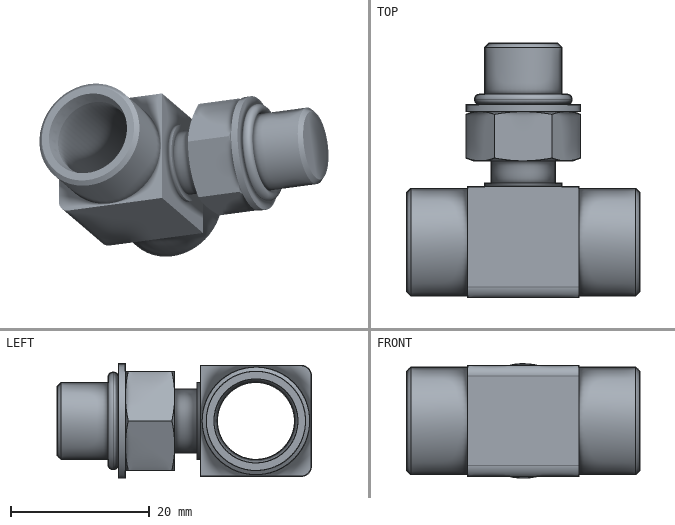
import cadquery as cq
import math

block_size = 16.0
block_edge_radius = 1.55

run_length = 33.6
run_diameter = 15.5
run_chamfer = 0.6
bore_diameter = 11.1
cone_mouth_diameter = 12.1
cone_half_angle = 12.0

collar_diameter = 11.12
collar_end = 8.5
neck_diameter = 9.25
nut_start = 11.7
washer_start = 18.8
washer_end = 19.8
washer_diameter = 16.51
stud_diameter = 11.12
stud_end = 28.65
stud_chamfer = 0.6

nut_across_flats = 14.29
nut_corner_diameter = nut_across_flats / math.cos(math.radians(30))
nut_chamfer_angle = 20.0

ring_section_diameter = 1.5
ring_outer_diameter = 14.06


def branch_cylinder(diameter, start, end):
    """Cylinder on the Y axis between two distances from the run axis."""
    return cq.Workplane("XZ", origin=(0, start, 0)).circle(diameter / 2).extrude(start - end)


def make_body():
    block = cq.Workplane("XY").box(block_size, block_size, block_size)
    block = block.edges("|X and <Y").fillet(block_edge_radius)
    run = (
        cq.Workplane("YZ", origin=(-run_length / 2, 0, 0))
        .circle(run_diameter / 2)
        .extrude(run_length)
        .faces("<X or >X")
        .chamfer(run_chamfer)
    )
    return block.union(run)


def make_run_bore():
    """Straight bore opening into a shallow cone at each end."""
    end = run_length / 2
    bore_radius = bore_diameter / 2
    mouth_radius = cone_mouth_diameter / 2
    cone_depth = (mouth_radius - bore_radius) / math.tan(math.radians(cone_half_angle))
    profile = [
        (-end, 0),
        (-end, mouth_radius),
        (-end + cone_depth, bore_radius),
        (end - cone_depth, bore_radius),
        (end, mouth_radius),
        (end, 0),
    ]
    return cq.Workplane("XY").polyline(profile).close().revolve(360, (0, 0, 0), (1, 0, 0))


def make_nut():
    """Hexagon whose corners are turned down by a cone at each end."""
    hexagon = (
        cq.Workplane("XZ", origin=(0, nut_start, 0))
        .polygon(6, nut_corner_diameter)
        .extrude(nut_start - washer_start)
    )
    face_radius = nut_across_flats / 2
    corner_radius = nut_corner_diameter / 2
    chamfer_length = (corner_radius - face_radius) * math.tan(math.radians(nut_chamfer_angle))
    profile = [
        (0, nut_start),
        (face_radius, nut_start),
        (corner_radius, nut_start + chamfer_length),
        (corner_radius, washer_start - chamfer_length),
        (face_radius, washer_start),
        (0, washer_start),
    ]
    envelope = cq.Workplane("XY").polyline(profile).close().revolve(360, (0, 0, 0), (0, 1, 0))
    return hexagon.intersect(envelope)


def make_ring():
    section_radius = ring_section_diameter / 2
    centre_radius = ring_outer_diameter / 2 - section_radius
    return (
        cq.Workplane("XY")
        .center(centre_radius, washer_end + section_radius)
        .circle(section_radius)
        .revolve(360, (-centre_radius, 0, 0), (-centre_radius, 1, 0))
    )


def make_branch():
    block_face = block_size / 2
    collar = branch_cylinder(collar_diameter, block_face, collar_end)
    neck = branch_cylinder(neck_diameter, block_face, nut_start)
    washer = branch_cylinder(washer_diameter, washer_start, washer_end)
    stud = branch_cylinder(stud_diameter, washer_end, stud_end)
    stud = stud.faces(">Y").chamfer(stud_chamfer)
    return collar.union(neck).union(make_nut()).union(washer).union(stud).union(make_ring())


result = make_body().union(make_branch()).cut(make_run_bore())